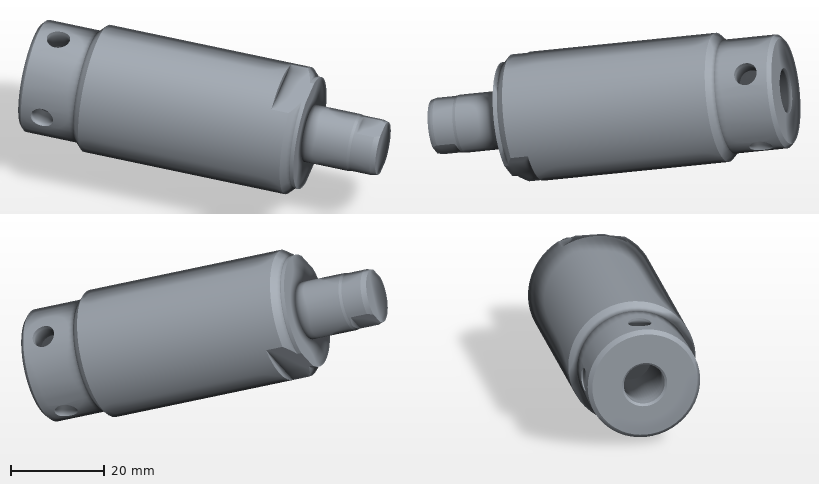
import cadquery as cq

total_length = 78.3
neck_end = 12.5
body_start = 14.2
body_end = 59.35
collar_start = 61.0
collar_end = 61.95
stem_end = 72.05
tip_start = 72.7
tip_taper_start = 77.1

body_diameter = 27.9
neck_diameter = 24.6
stem_diameter = 12.5
tip_diameter = 12.2
tip_end_diameter = 11.6
neck_edge_chamfer = 0.9

socket_diameter = 8.9
socket_depth = 15.7
socket_chamfer = 0.5

spanner_hole_diameter = 5.0
spanner_hole_depth = 4.7
spanner_hole_x = 5.55
spanner_hole_count = 4

body_flats_start = 55.5
body_flats_width = 23.8
tip_flats_run_in = 0.6
tip_flats_start = tip_start + tip_flats_run_in
tip_flats_width = 11.0


def turned_body():
    """Stepped shaft revolved about the X axis."""
    body_radius = body_diameter / 2
    neck_radius = neck_diameter / 2
    stem_radius = stem_diameter / 2
    tip_radius = tip_diameter / 2
    profile = [
        (0, 0),
        (0, neck_radius - neck_edge_chamfer),
        (neck_edge_chamfer, neck_radius),
        (neck_end, neck_radius),
        (body_start, body_radius),
        (body_end, body_radius),
        (collar_start, neck_radius),
        (collar_end, neck_radius),
        (collar_end, stem_radius),
        (stem_end, stem_radius),
        (tip_start, tip_radius),
        (tip_taper_start, tip_radius),
        (total_length, tip_end_diameter / 2),
        (total_length, 0),
    ]
    return cq.Workplane("XY").polyline(profile).close().revolve(360, (0, 0), (1, 0))


def socket():
    """Blind axial hole with a chamfered mouth."""
    radius = socket_diameter / 2
    profile = [
        (0, 0),
        (0, radius + socket_chamfer),
        (socket_chamfer, radius),
        (socket_depth, radius),
        (socket_depth, 0),
    ]
    return cq.Workplane("XY").polyline(profile).close().revolve(360, (0, 0), (1, 0))


def spanner_hole(angle):
    """Flat-bottomed radial hole, turned about the X axis by the given angle."""
    hole = (
        cq.Workplane("XY")
        .workplane(offset=neck_diameter / 2 - spanner_hole_depth)
        .center(spanner_hole_x, 0)
        .circle(spanner_hole_diameter / 2)
        .extrude(body_diameter / 2)
    )
    return hole.rotate((0, 0, 0), (1, 0, 0), angle)


def cut_flats(shaft, start, end, stock_diameter, width, run_in=0):
    """Cut flats facing +Z and -Z, entered by a slope of length run_in or, by default, a square step."""
    inner = width / 2
    outer = stock_diameter / 2
    section = [
        (start, inner),
        (end, inner),
        (end, outer),
        (start - run_in, outer),
    ]
    waste = cq.Workplane("XZ").polyline(section).close().extrude(outer, both=True)
    return shaft.cut(waste).cut(waste.mirror("XY"))


result = turned_body().cut(socket())
for index in range(spanner_hole_count):
    result = result.cut(spanner_hole(index * 360 / spanner_hole_count))
result = cut_flats(result, body_flats_start, collar_end, body_diameter, body_flats_width)
result = cut_flats(result, tip_flats_start, total_length, tip_diameter, tip_flats_width, tip_flats_run_in)